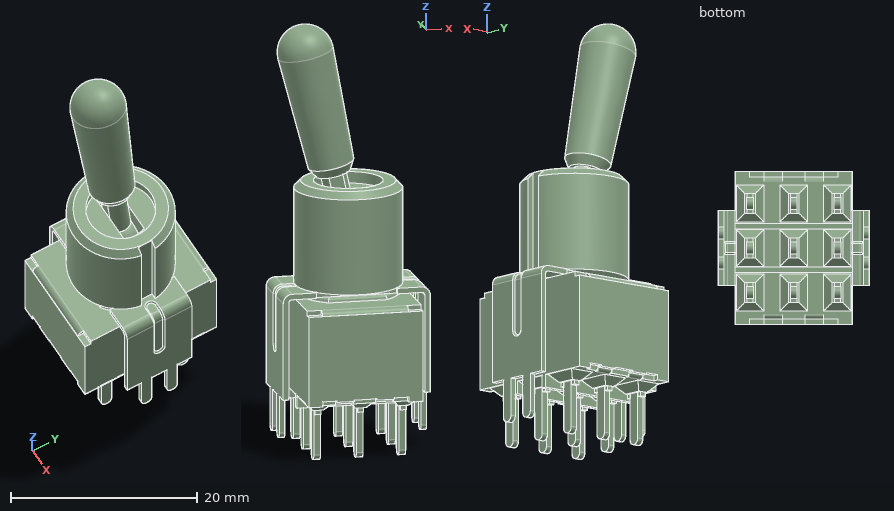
import cadquery as cq
import math

total_height = 47.0
bushing_top = 29.5
bracket_top = 18.25
body_top = 17.15
body_bottom = 6.65

body_x = 12.6
body_y = 16.5
panel_x = 9.5
edge_radius = 0.75
ledge_drop = 0.5
panel_bottom = 7.2
panel_tab_bottom = 7.05
panel_thickness = 0.6
base_gap_x = 1.97
base_gap_offset = 2.2
base_gap_radius = panel_tab_bottom - body_bottom

rail_bottom = 5.2
rail_outer_y = 2.65
rail_thickness = 0.6

terminal_pitch_x = 4.7
terminal_pitch_y = 4.8
terminal_x = 0.75
terminal_y = 1.25
seat_top_x, seat_top_y = 2.95, 3.95
seat_tip_x, seat_tip_y = 1.18, 2.15
seat_height = 0.95
shoulder_x = 0.65

bracket_x = 16.25
bracket_y = 8.1
sheet = 0.6
bend_radius = 1.0
leg_bottom = 6.55
tab_bottom = 1.85
tab_width = 1.25
tab_offset_y = 1.6
bracket_notch_x = 8.95
bracket_notch_depth = 0.38

groove_width = 1.35
groove_depth = 0.2
groove_inner_end = 5.75
groove_bottom = 11.0

boss_radius = 5.5
boss_flats = 8.95
boss_rounding = 0.38

bushing_radius = 5.88
bushing_chamfer = 0.75
bore_diameter = 7.5
bore_depth = 1.25
keyway_width = 1.7
slot_radius = 3.05
slot_width = 2.55

lever_tilt = 12.8
dome_radius = 3.05
dome_distance = 21.4
handle_length = 12.75
handle_end_radius = 2.55
tip_radius = 1.95
tip_length = 1.1
shank_radius = 1.4
shank_flats = 2.35
ball_radius = 3.05
pivot_height = total_height - dome_radius - dome_distance * math.cos(math.radians(lever_tilt))


def block(x, y, bottom, top, center_x=0.0, center_y=0.0):
    return (
        cq.Workplane("XY", origin=(center_x, center_y, bottom))
        .rect(x, y)
        .extrude(top - bottom)
    )


def make_body():
    """Switch case with rounded panel tops, corner ledges and recessed base edges."""
    case = block(body_x, body_y, body_bottom, body_top)
    middle = block(panel_x, body_y, body_bottom, body_top).edges("|X and >Z").fillet(edge_radius)
    half_y = body_y / 2
    for side in (-1, 1):
        ledge_y = side * (half_y - edge_radius / 2)
        case = case.cut(block(body_x, edge_radius, body_top - ledge_drop, body_top, 0, ledge_y))
    case = case.union(middle)

    recess = block(panel_x, panel_thickness, body_bottom, panel_bottom,
                   0, panel_thickness / 2 - half_y)
    gap_edge_y = panel_thickness - half_y
    for side in (-1, 1):
        center_x = side * base_gap_offset
        panel_tab = block(base_gap_x, panel_thickness, panel_tab_bottom, panel_bottom,
                          center_x, panel_thickness / 2 - half_y)
        rounding = block(base_gap_x, base_gap_radius, body_bottom, panel_tab_bottom,
                         center_x, gap_edge_y + base_gap_radius / 2)
        kept = (
            cq.Workplane("YZ", origin=(center_x, gap_edge_y + base_gap_radius, panel_tab_bottom))
            .circle(base_gap_radius)
            .extrude(base_gap_x / 2, both=True)
        )
        recess = recess.cut(panel_tab).union(rounding.cut(kept))
    return case.cut(recess).cut(recess.mirror("XZ"))


def make_rails():
    rail_y = rail_outer_y - rail_thickness / 2
    rail = block(body_x, rail_thickness, rail_bottom, body_bottom, 0, rail_y)
    return rail.union(rail.mirror("XZ"))


def rounded_blade(thickness, width, bottom, top, center_x, center_y):
    """Flat blade across X with a full-round lower end."""
    radius = width / 2
    return (
        cq.Workplane("YZ", origin=(center_x - thickness / 2, center_y, 0))
        .moveTo(-radius, top)
        .lineTo(-radius, bottom + radius)
        .threePointArc((0, bottom), (radius, bottom + radius))
        .lineTo(radius, top)
        .close()
        .extrude(thickness)
    )


def make_terminal(center_x, center_y):
    """Blade terminal with a shoulder under a tapered seat."""
    seat_bottom = body_bottom - seat_height
    seat = (
        cq.Workplane("XY", origin=(center_x, center_y, body_bottom))
        .rect(seat_top_x, seat_top_y)
        .workplane(offset=-seat_height)
        .rect(seat_tip_x, seat_tip_y)
        .loft(ruled=True)
    )
    shoulder = block(shoulder_x, seat_tip_y, rail_bottom, seat_bottom, center_x, center_y)
    blade = rounded_blade(terminal_x, terminal_y, 0, seat_bottom, center_x, center_y)
    return seat.union(shoulder).union(blade)


def pressed_groove(inset):
    """Tapered groove along the +X bend, its wide face lying `inset` below the outer bracket face."""
    face_x = bracket_x / 2 - inset
    face_z = bracket_top - inset
    radius = bend_radius - inset
    wide = groove_width / 2
    narrow = wide - groove_depth
    end_x = groove_inner_end + wide
    end_z = groove_bottom + wide
    turn = radius * (1 - math.sqrt(0.5))
    path = (
        cq.Workplane("XZ")
        .moveTo(end_x, face_z)
        .lineTo(face_x - radius, face_z)
        .threePointArc((face_x - turn, face_z - turn), (face_x, face_z - radius))
        .lineTo(face_x, end_z)
    )
    groove = (
        cq.Workplane("YZ", origin=(end_x, 0, face_z))
        .polyline([(-wide, 0), (wide, 0), (narrow, -groove_depth), (-narrow, -groove_depth)])
        .close()
        .sweep(path)
    )
    upper_end = cq.Solid.makeCone(wide, narrow, groove_depth,
                                  cq.Vector(end_x, 0, face_z), cq.Vector(0, 0, -1))
    lower_end = cq.Solid.makeCone(wide, narrow, groove_depth,
                                  cq.Vector(face_x, 0, end_z), cq.Vector(-1, 0, 0))
    return groove.union(cq.Workplane(upper_end)).union(cq.Workplane(lower_end))


def make_bracket():
    """Sheet-metal saddle with two legs, four solder tabs and pressed grooves."""
    outer = (
        block(bracket_x, bracket_y, leg_bottom, bracket_top)
        .edges("|Y and >Z")
        .fillet(bend_radius)
    )
    inner = (
        block(bracket_x - 2 * sheet, bracket_y, leg_bottom, bracket_top - sheet)
        .edges("|Y and >Z")
        .fillet(bend_radius - sheet)
    )
    saddle = outer.cut(inner)
    notch_y = (bracket_y - bracket_notch_depth) / 2
    leg_x = (bracket_x - sheet) / 2
    groove = pressed_groove(0)
    bulge = pressed_groove(sheet)
    for side in (-1, 1):
        saddle = saddle.cut(
            block(bracket_notch_x, bracket_notch_depth, bracket_top - sheet, bracket_top,
                  0, side * notch_y)
        )
        for tab_y in (-tab_offset_y, tab_offset_y):
            saddle = saddle.union(
                rounded_blade(sheet, tab_width, tab_bottom, leg_bottom, side * leg_x, tab_y)
            )
    saddle = saddle.union(bulge).union(bulge.mirror("YZ"))
    return saddle.cut(groove).cut(groove.mirror("YZ"))


def make_boss():
    """Round boss with two flats and a rounded rim, carrying the bracket."""
    boss_top = bracket_top - sheet
    return (
        cq.Workplane("XY", origin=(0, 0, body_top))
        .circle(boss_radius)
        .extrude(boss_top - body_top)
        .intersect(block(2 * boss_radius, boss_flats, body_top, boss_top))
        .faces(">Z")
        .edges()
        .fillet(boss_rounding)
    )


def make_bushing():
    """Chamfered bushing with a keyway, a shallow bore and a slot for the lever."""
    bushing = (
        cq.Workplane("XY", origin=(0, 0, bracket_top))
        .circle(bushing_radius)
        .extrude(bushing_top - bracket_top)
        .faces(">Z")
        .chamfer(bushing_chamfer)
    )
    bore = (
        cq.Workplane("XY", origin=(0, 0, bushing_top - bore_depth))
        .circle(bore_diameter / 2)
        .extrude(bore_depth)
    )
    slot = (
        cq.Workplane("XY", origin=(0, 0, pivot_height))
        .circle(slot_radius)
        .extrude(bushing_top - pivot_height)
        .intersect(block(2 * slot_radius, slot_width, pivot_height, bushing_top))
    )
    keyway_floor = bushing_radius - bushing_chamfer
    keyway = block(bushing_chamfer, keyway_width, bracket_top, bushing_top,
                   keyway_floor + bushing_chamfer / 2)
    return bushing.cut(bore).cut(slot).cut(keyway)


def make_lever():
    """Tapered, dome-ended handle on a flatted shank, tilted about the pivot ball."""
    handle_bottom = dome_distance - handle_length
    handle = (
        cq.Workplane("XZ")
        .moveTo(0, handle_bottom - tip_length)
        .lineTo(tip_radius, handle_bottom - tip_length)
        .lineTo(handle_end_radius, handle_bottom)
        .lineTo(dome_radius, dome_distance)
        .radiusArc((0, dome_distance + dome_radius), -dome_radius)
        .close()
        .revolve(360, (0, 0, 0), (0, 1, 0))
    )
    shank = (
        cq.Workplane("XY")
        .circle(shank_radius)
        .extrude(handle_bottom)
        .intersect(block(2 * shank_radius, shank_flats, 0, handle_bottom))
    )
    return (
        handle.union(shank)
        .rotate((0, 0, 0), (0, 1, 0), -lever_tilt)
        .translate((0, 0, pivot_height))
    )


def make_pivot_ball():
    """Ball closing the lower end of the lever slot."""
    return cq.Workplane("XY", origin=(0, 0, pivot_height)).sphere(ball_radius)


result = make_body().union(make_rails()).union(make_boss()).union(make_bracket())
for column in (-1, 0, 1):
    for row in (-1, 0, 1):
        result = result.union(make_terminal(column * terminal_pitch_x, row * terminal_pitch_y))
result = result.union(make_bushing()).union(make_pivot_ball()).union(make_lever())